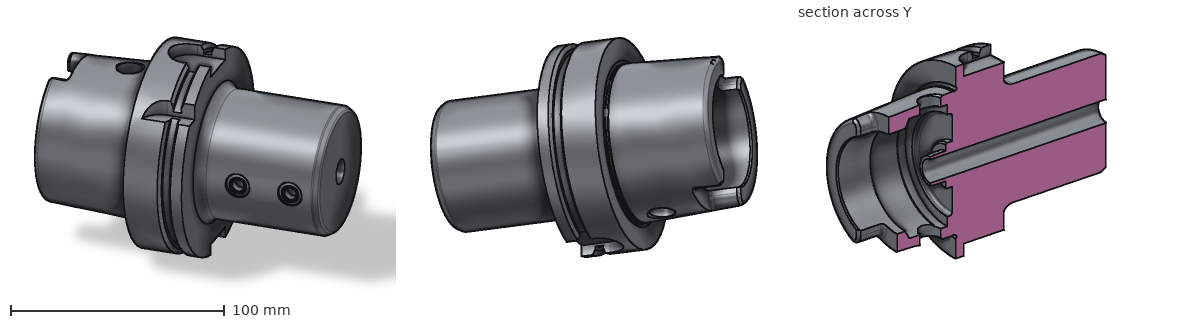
import cadquery as cq
import math


taper_length = 50.0
taper_large_diameter = 75.3
taper_ratio = 9.98
taper_end_x = -2.0
nose_radius = 2.0
relief_neck_radius = 37.35
relief_lead_in = 0.4
relief_groove_radius = 38.5
relief_outer_radius = 39.4
relief_corner_radius = 0.5

flange_diameter = 100.0
flange_width = 29.0
groove_center_x = 20.2
groove_floor_width = 4.0
groove_floor_diameter = 92.0
groove_bevel_width = 1.3
groove_bevel_angle = 30.0

overall_length = 140.0
shank_diameter = 62.0
shank_blend_radius = 6.0
shank_blend_height = 3.0
shank_bevel_length = 3.15
shank_bevel_angle = 30.0
shank_edge_radius = 1.5

bore_diameter = 53.0
bore_mouth_diameter = 53.8
bore_mouth_length = 1.0
clamp_groove_diameter = 62.0
clamp_groove_start_x = -30.0
clamp_cone_angle = 60.0
relief_bore_diameter = 63.0
relief_bore_start_x = -10.0
relief_bore_end_x = -5.0
cavity_floor_x = -2.0
cavity_floor_radius = 1.7

tube_diameter = 16.0
tube_tip_diameter = 15.3
tube_tip_x = -15.2
tube_tip_length = 3.1
nut_diameter = 24.0
nut_front_x = -6.0
nut_chamfer = 0.85
coolant_hole_diameter = 12.0

wall_hole_diameter = 12.0
wall_hole_x = -15.0
wall_hole_sink_start = 36.3

drive_slot_width = 20.0
drive_slot_shoulder = 32.3
drive_slot_corner_radius = 5.0
drive_slot_floor_radius = 2.0
drive_slot_mouth_chamfer = 1.5
upper_drive_slot_depth = 10.0
lower_drive_slot_depth = 15.0

notch_width = 20.0
notch_start_x = 5.0
keyway_floor = 43.6
corner_notch_floor = 31.4

screw_positions = (50.0, 76.0)
screw_diameter = 12.0
screw_face_diameter = 8.5
screw_bevel_angle = 30.0
screw_face_height = 30.4
socket_diameter = 6.0
socket_mouth_diameter = 6.93
socket_depth = 5.0
socket_point_angle = 118.0

clearance = 1.0
outside = flange_diameter

shank_end_x = overall_length - taper_length
flange_radius = flange_diameter / 2
shank_radius = shank_diameter / 2


def tangent_of(degrees):
    return math.tan(math.radians(degrees))


def taper_radius(x):
    return taper_large_diameter / 2 + (x - taper_end_x) / (2 * taper_ratio)


def turned(outline):
    """Revolve an (x, radius) outline about the X axis."""
    return outline.close().revolve(360, (0, 0, 0), (1, 0, 0))


def edges_centred_between(first_x, last_x):
    """Selector for the turned edges whose centres lie on the axis from first_x to last_x."""
    margin = 0.1
    return cq.selectors.BoxSelector((first_x - margin, -margin, -margin), (last_x + margin, margin, margin))


def turned_body():
    floor_radius = groove_floor_diameter / 2
    floor_left = groove_center_x - groove_floor_width / 2
    floor_right = groove_center_x + groove_floor_width / 2
    bevel_radius = flange_radius - groove_bevel_width / tangent_of(groove_bevel_angle)
    relief_rise = relief_groove_radius - relief_neck_radius
    relief_depth = relief_outer_radius - relief_groove_radius
    blend_length = math.sqrt(shank_blend_radius**2 - (shank_blend_radius - shank_blend_height) ** 2)
    bevel_start_x = shank_end_x - shank_bevel_length
    end_radius = shank_radius - shank_bevel_length * tangent_of(shank_bevel_angle)
    outline = (
        cq.Workplane("XY")
        .moveTo(-taper_length, 0)
        .lineTo(-taper_length, taper_radius(-taper_length))
        .lineTo(taper_end_x, taper_radius(taper_end_x))
        .lineTo(taper_end_x + relief_lead_in, relief_neck_radius)
        .lineTo(relief_depth - relief_rise, relief_neck_radius)
        .lineTo(relief_depth, relief_groove_radius)
        .lineTo(0, relief_outer_radius)
        .lineTo(0, flange_radius)
        .lineTo(floor_left - groove_bevel_width, flange_radius)
        .lineTo(floor_left, bevel_radius)
        .lineTo(floor_left, floor_radius)
        .lineTo(floor_right, floor_radius)
        .lineTo(floor_right, bevel_radius)
        .lineTo(floor_right + groove_bevel_width, flange_radius)
        .lineTo(flange_width, flange_radius)
        .lineTo(flange_width, shank_radius + shank_blend_height)
        .radiusArc((flange_width + blend_length, shank_radius), -shank_blend_radius)
        .lineTo(bevel_start_x, shank_radius)
        .lineTo(shank_end_x, end_radius)
        .lineTo(shank_end_x, 0)
    )
    body = turned(outline)
    body = body.faces("<X").edges().fillet(nose_radius)
    neck_corners = edges_centred_between(taper_end_x + relief_lead_in, relief_depth - relief_rise)
    groove_bottom = edges_centred_between(relief_depth, relief_depth)
    body = body.edges(neck_corners + groove_bottom).fillet(relief_corner_radius)
    bevel_edges = edges_centred_between(bevel_start_x, shank_end_x)
    return body.edges(bevel_edges).fillet(shank_edge_radius)


def cavity():
    """Bore, clamping groove and rounded floor of the hollow taper."""
    bore_radius = bore_diameter / 2
    groove_radius = clamp_groove_diameter / 2
    relief_radius = relief_bore_diameter / 2
    cone_length = (groove_radius - bore_radius) / tangent_of(clamp_cone_angle)
    outline = (
        cq.Workplane("XY")
        .moveTo(-taper_length, 0)
        .lineTo(-taper_length, bore_mouth_diameter / 2)
        .lineTo(-taper_length + bore_mouth_length, bore_radius)
        .lineTo(clamp_groove_start_x, bore_radius)
        .lineTo(clamp_groove_start_x + cone_length, groove_radius)
        .lineTo(relief_bore_start_x, groove_radius)
        .lineTo(relief_bore_start_x, relief_radius)
        .lineTo(relief_bore_end_x, relief_radius)
        .lineTo(relief_bore_end_x, bore_radius)
        .lineTo(cavity_floor_x, bore_radius)
        .lineTo(cavity_floor_x, 0)
    )
    return turned(outline).faces(">X").edges().fillet(cavity_floor_radius)


def coolant_tube():
    """Nut and tube stub standing on the cavity floor."""
    nut_radius = nut_diameter / 2
    outline = (
        cq.Workplane("XY")
        .moveTo(tube_tip_x, 0)
        .lineTo(tube_tip_x, tube_tip_diameter / 2)
        .lineTo(tube_tip_x + tube_tip_length, tube_diameter / 2)
        .lineTo(nut_front_x, tube_diameter / 2)
        .lineTo(nut_front_x, nut_radius - nut_chamfer)
        .lineTo(nut_front_x + nut_chamfer, nut_radius)
        .lineTo(cavity_floor_x + clearance, nut_radius)
        .lineTo(cavity_floor_x + clearance, 0)
    )
    return turned(outline)


def coolant_hole():
    return (
        cq.Workplane("YZ", origin=(-taper_length, 0, 0))
        .circle(coolant_hole_diameter / 2)
        .extrude(overall_length)
    )


def wall_hole():
    """Countersunk radial hole on the +Z side, reaching from the clamping groove outwards."""
    radius = wall_hole_diameter / 2
    inner_z = bore_diameter / 2
    outer_z = taper_large_diameter / 2 + clearance
    outline = (
        cq.Workplane("XZ")
        .moveTo(0, inner_z)
        .lineTo(radius, inner_z)
        .lineTo(radius, wall_hole_sink_start)
        .lineTo(radius + outer_z - wall_hole_sink_start, outer_z)
        .lineTo(0, outer_z)
        .close()
    )
    return outline.revolve(360, (0, 0, 0), (0, 1, 0)).translate((wall_hole_x, 0, 0))


def drive_slot(depth):
    """Slot on the +Z side of the taper mouth, with a rounded floor and chamfered mouth edges."""
    half_width = drive_slot_width / 2
    corner = drive_slot_corner_radius
    corner_z = drive_slot_shoulder - corner
    corner_y = half_width + corner
    mid_offset = corner * math.sqrt(0.5)
    top_z = drive_slot_shoulder + flange_radius
    flare_y = flange_radius
    prism = (
        cq.Workplane("YZ", origin=(-taper_length, 0, 0))
        .moveTo(-half_width, 0)
        .lineTo(-half_width, corner_z)
        .threePointArc((-corner_y + mid_offset, corner_z + mid_offset), (-corner_y, drive_slot_shoulder))
        .lineTo(-flare_y, drive_slot_shoulder)
        .lineTo(-flare_y, top_z)
        .lineTo(flare_y, top_z)
        .lineTo(flare_y, drive_slot_shoulder)
        .lineTo(corner_y, drive_slot_shoulder)
        .threePointArc((corner_y - mid_offset, corner_z + mid_offset), (half_width, corner_z))
        .lineTo(half_width, 0)
        .close()
        .extrude(depth)
    )
    wall_edges = cq.selectors.BoxSelector((-outside, -flare_y, clearance), (0, flare_y, top_z - clearance))
    prism = prism.faces(">X").edges(wall_edges).fillet(drive_slot_floor_radius)
    block = (
        cq.Workplane("YZ", origin=(-taper_length, 0, 0))
        .rect(2 * flare_y, 2 * top_z)
        .extrude(depth + clearance)
    )
    slotted = block.cut(prism)
    mouth = cq.selectors.BoxSelector(
        (-outside, -flare_y + clearance, clearance), (0, flare_y - clearance, top_z - clearance)
    )
    slotted = slotted.faces("<X").edges(mouth).chamfer(drive_slot_mouth_chamfer)
    return block.cut(slotted)


def flange_notch(center_y, floor_z):
    """Round-ended notch, milled along Z and open towards the shank."""
    radius = notch_width / 2
    center_x = notch_start_x + radius
    length = flange_width - center_x
    height = flange_diameter
    base = cq.Workplane("XY", origin=(center_x, center_y, floor_z))
    round_end = base.circle(radius).extrude(height)
    straight = base.center(length / 2, 0).rect(length, notch_width).extrude(height)
    return round_end.union(straight)


def set_screw_recess(x):
    """Space around the bevelled screw end and inside its socket, opening towards -Y."""
    screw_radius = screw_diameter / 2
    face_radius = screw_face_diameter / 2
    socket_radius = socket_diameter / 2
    mouth_radius = socket_mouth_diameter / 2
    bevel_y = screw_face_height - (screw_radius - face_radius) * tangent_of(screw_bevel_angle)
    socket_floor = screw_face_height - socket_depth
    point_y = socket_floor - socket_radius / tangent_of(socket_point_angle / 2)
    top_y = shank_radius + clearance
    outline = (
        cq.Workplane("XY")
        .moveTo(0, -point_y)
        .lineTo(socket_radius, -socket_floor)
        .lineTo(socket_radius, -(screw_face_height - mouth_radius + socket_radius))
        .lineTo(mouth_radius, -screw_face_height)
        .lineTo(face_radius, -screw_face_height)
        .lineTo(screw_radius, -bevel_y)
        .lineTo(screw_radius, -top_y)
        .lineTo(0, -top_y)
        .close()
    )
    return outline.revolve(360, (0, 0, 0), (0, 1, 0)).translate((x, 0, 0))


def opposite(shape):
    """The same shape turned half a revolution about the X axis."""
    return shape.rotate((0, 0, 0), (1, 0, 0), 180)


result = turned_body().cut(cavity())

result = result.cut(drive_slot(upper_drive_slot_depth))
result = result.cut(opposite(drive_slot(lower_drive_slot_depth)))

result = result.cut(wall_hole()).cut(opposite(wall_hole()))

keyway = flange_notch(0, keyway_floor)
corner_notch = flange_notch(-corner_notch_floor - notch_width / 2, corner_notch_floor)
result = result.cut(keyway).cut(opposite(keyway)).cut(corner_notch)

for screw_x in screw_positions:
    result = result.cut(set_screw_recess(screw_x))

result = result.union(coolant_tube()).cut(coolant_hole())